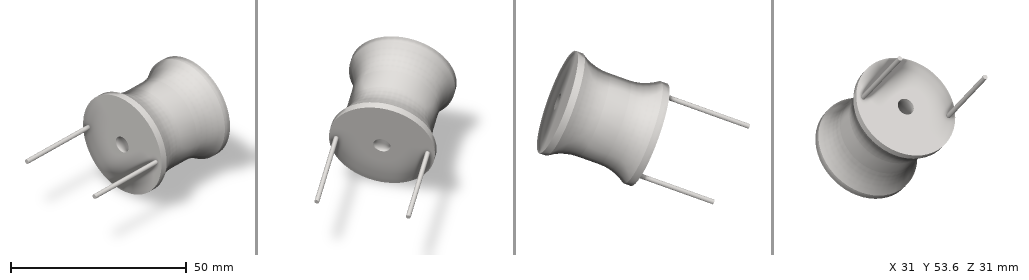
import cadquery as cq
import math

flange_diameter = 30.99
waist_diameter = 25.4
bore_diameter = 5.0
body_length = 28.19
flange_thickness = 2.1
waist_length = 6.6

lead_diameter = 1.4
lead_length = 25.4
lead_spacing = 26.7

flange_radius = flange_diameter / 2
waist_radius = waist_diameter / 2
flare_length = (body_length - waist_length) / 2 - flange_thickness
flare_rise = flange_radius - waist_radius
flare_radius = (flare_length**2 + flare_rise**2) / (2 * flare_rise)
flare_half_angle = math.asin(flare_length / flare_radius) / 2


def make_body():
    """Revolve the spool profile, with radius along X, about the Y axis."""
    front_rim = flange_thickness
    back_rim = body_length - flange_thickness
    waist_start = front_rim + flare_length
    waist_end = waist_start + waist_length
    mid_run = flare_radius * math.sin(flare_half_angle)
    mid_radius = waist_radius + flare_radius * (1 - math.cos(flare_half_angle))
    bore_radius = bore_diameter / 2
    return (
        cq.Workplane("XY")
        .moveTo(bore_radius, 0)
        .lineTo(flange_radius, 0)
        .lineTo(flange_radius, front_rim)
        .threePointArc((mid_radius, waist_start - mid_run), (waist_radius, waist_start))
        .lineTo(waist_radius, waist_end)
        .threePointArc((mid_radius, waist_end + mid_run), (flange_radius, back_rim))
        .lineTo(flange_radius, body_length)
        .lineTo(bore_radius, body_length)
        .close()
        .revolve(360, (0, 0, 0), (0, 1, 0))
    )


def make_leads():
    """Two round wires running from the front flange face toward -Y."""
    half_spacing = lead_spacing / 2
    return (
        cq.Workplane("XZ")
        .pushPoints([(-half_spacing, 0), (half_spacing, 0)])
        .circle(lead_diameter / 2)
        .extrude(lead_length)
    )


result = make_body().union(make_leads())